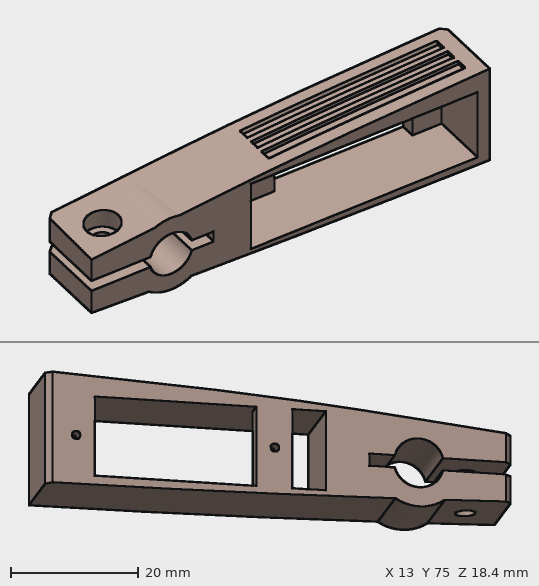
import cadquery as cq


WIDTH = 13.0
LENGTH = 75.0
TIP_BOTTOM_Z = -5.41
MID_BOTTOM_Z = -6.57
MID_BOTTOM_Y = 37.0
REAR_BOTTOM_Z = -7.05
REAR_TOP_Z = 11.21
TIP_TOP_Z = 5.70
TIP_TOP_DROP = 0.46
FRONT_TOP_SLOPE = 0.0955
FRONT_RUN_END_Y = 33.6
REAR_TOP_SLOPE = 0.0475
REAR_RUN_START_Y = 51.6
CORNER_CHAMFER = 1.0

CLAMP_Y = 15.0
BORE_DIAMETER = 8.0
COLLAR_RADIUS = 7.17
SLIT_GAP = 2.0
SLIT_LENGTH = 23.0

SCREW_X = 7.0
SCREW_Y = 6.0
SCREW_DIAMETER = 3.2
SCREW_HEAD_DIAMETER = 6.0
SCREW_HEAD_SEAT_Z = 3.0

SERVO_Z = 1.0
SERVO_HEIGHT = 13.0
SERVO_Y = 54.2
SERVO_LENGTH = 26.0
CABLE_WINDOW_START_Y = 30.0
CABLE_WINDOW_END_Y = 35.4
PLATE_THICKNESS = 2.7
CAVITY_END_Y = 72.7
SERVO_SCREW_DIAMETER = 1.3
SERVO_SCREW_SPACING = 32.0

GROOVE_CENTER_X = 6.4
GROOVE_PITCH = 2.95
GROOVE_START_Y = 35.0
GROOVE_END_Y = 72.0
GROOVE_DEPTH = 0.5
GROOVE_FLOOR_WIDTH = 1.4
GROOVE_INNER_FLARE = 0.22
GROOVE_OUTER_FLARE = 0.45

CUT_REACH = 2 * REAR_TOP_Z


def top_points(x):
    """Points of the top edge in the section at x, from the rear end to the clamp end.

    The top twists: its clamp end sinks with x while its rear end stays level.
    """
    untwisted = [
        (LENGTH, REAR_TOP_Z),
        (REAR_RUN_START_Y, REAR_TOP_Z - REAR_TOP_SLOPE * (LENGTH - REAR_RUN_START_Y)),
        (FRONT_RUN_END_Y, TIP_TOP_Z + FRONT_TOP_SLOPE * FRONT_RUN_END_Y),
        (0, TIP_TOP_Z),
    ]
    drop = TIP_TOP_DROP * x / WIDTH
    return [(y, z - drop * (1 - y / LENGTH)) for y, z in untwisted]


def add_top_edge(outline, x, lift=0):
    """Continue the outline from its current point along the top edge, raised by lift."""
    points = [(y, z + lift) for y, z in top_points(x)]
    added_slope = TIP_TOP_DROP * x / WIDTH / LENGTH
    tip_slope = FRONT_TOP_SLOPE + added_slope
    rear_slope = REAR_TOP_SLOPE + added_slope
    tangents = [(-1, -rear_slope), (-1, -tip_slope)]
    return outline.lineTo(*points[0]).spline(points[1:], tangents=tangents, includeCurrent=True)


def section_plane(x):
    return cq.Workplane("YZ", origin=(x, 0, 0))


def loft_sections(outlines):
    """Solid with straight rulings from each closed outline to the next."""
    wires = [outline.val() for outline in outlines]
    return cq.Workplane(cq.Solid.makeLoft(wires, True))


def side_outline(x):
    outline = section_plane(x).moveTo(0, TIP_BOTTOM_Z)
    outline = outline.threePointArc((MID_BOTTOM_Y, MID_BOTTOM_Z), (LENGTH, REAR_BOTTOM_Z))
    return add_top_edge(outline, x).close()


def make_body():
    return loft_sections([side_outline(0), side_outline(WIDTH)])


def box_between(x_range, y_range, z_range):
    sizes = [high - low for low, high in (x_range, y_range, z_range)]
    corner = (x_range[0], y_range[0], z_range[0])
    return cq.Workplane("XY").box(*sizes, centered=False).translate(corner)


def cylinder_along_x(diameter, y, z, length):
    return cq.Workplane("YZ").center(y, z).circle(diameter / 2).extrude(length)


def make_corner_cut(end_y, inward):
    """Prism that takes the chamfer off one vertical corner of the mounting face."""
    corner = [(0, end_y), (CORNER_CHAMFER, end_y), (0, end_y + inward * CORNER_CHAMFER)]
    return cq.Workplane("XY").polyline(corner).close().extrude(CUT_REACH, both=True)


def make_servo_bay():
    z_range = (SERVO_Z - SERVO_HEIGHT / 2, SERVO_Z + SERVO_HEIGHT / 2)
    servo_range = (SERVO_Y - SERVO_LENGTH / 2, SERVO_Y + SERVO_LENGTH / 2)
    cable_range = (CABLE_WINDOW_START_Y, CABLE_WINDOW_END_Y)
    bay = box_between((PLATE_THICKNESS, WIDTH), (CABLE_WINDOW_START_Y, CAVITY_END_Y), z_range)
    for window_range in (servo_range, cable_range):
        bay = bay.union(box_between((0, WIDTH), window_range, z_range))
    for side in (-1, 1):
        screw_y = SERVO_Y + side * SERVO_SCREW_SPACING / 2
        bay = bay.union(cylinder_along_x(SERVO_SCREW_DIAMETER, screw_y, SERVO_Z, WIDTH))
    return bay


def make_clamp_cut():
    bore = cylinder_along_x(BORE_DIAMETER, CLAMP_Y, 0, WIDTH)
    slit = box_between((0, WIDTH), (0, SLIT_LENGTH), (-SLIT_GAP / 2, SLIT_GAP / 2))
    screw = cq.Workplane("XY").center(SCREW_X, SCREW_Y).circle(SCREW_DIAMETER / 2)
    screw = screw.extrude(CUT_REACH, both=True)
    head = cq.Workplane("XY", origin=(SCREW_X, SCREW_Y, SCREW_HEAD_SEAT_Z))
    head = head.circle(SCREW_HEAD_DIAMETER / 2).extrude(CUT_REACH)
    return bore.union(slit).union(screw).union(head)


def groove_outline(x, lift):
    """Outline of the space above the top edge raised by lift."""
    outline = section_plane(x).moveTo(0, CUT_REACH).lineTo(LENGTH, CUT_REACH)
    return add_top_edge(outline, x, lift).close()


def make_groove(index):
    """Cutter for the groove at index -1, 0 or 1 across the width.

    The floor follows the top at a constant depth. The sloped walls run on above the top.
    """
    center_x = GROOVE_CENTER_X + index * GROOVE_PITCH
    left_flare = GROOVE_OUTER_FLARE if index < 0 else GROOVE_INNER_FLARE
    right_flare = GROOVE_OUTER_FLARE if index > 0 else GROOVE_INNER_FLARE
    left_x = center_x - GROOVE_FLOOR_WIDTH / 2
    right_x = center_x + GROOVE_FLOOR_WIDTH / 2
    space = loft_sections([
        groove_outline(left_x - 2 * left_flare, GROOVE_DEPTH),
        groove_outline(left_x, -GROOVE_DEPTH),
        groove_outline(right_x, -GROOVE_DEPTH),
        groove_outline(right_x + 2 * right_flare, GROOVE_DEPTH),
    ])
    return space.intersect(box_between((0, WIDTH), (GROOVE_START_Y, GROOVE_END_Y), (0, CUT_REACH)))


lever = make_body()
lever = lever.cut(make_corner_cut(0, 1)).cut(make_corner_cut(LENGTH, -1))
lever = lever.union(cylinder_along_x(2 * COLLAR_RADIUS, CLAMP_Y, 0, WIDTH))
lever = lever.cut(make_servo_bay()).cut(make_clamp_cut())
for groove_index in (-1, 0, 1):
    lever = lever.cut(make_groove(groove_index))
result = lever